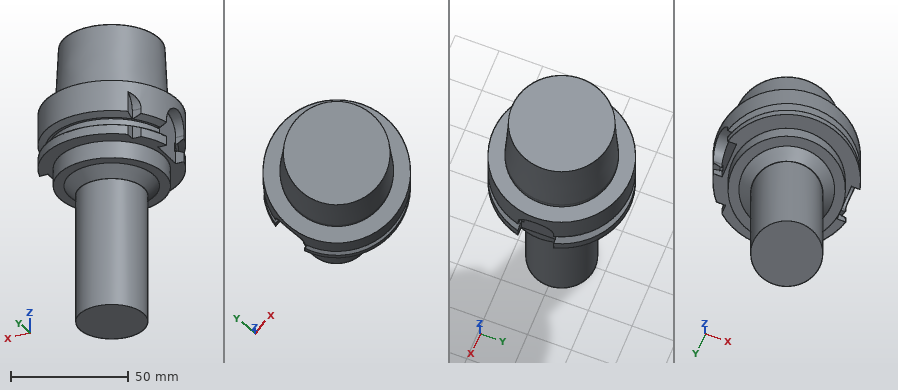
import cadquery as cq
import math

total_height = 132.0
cone_bottom_z = 61.1
collar_bottom_z = 66.0
flange_bottom_z = 74.2
lower_bevel_z = 78.5
groove_bottom_z = 80.1
groove_top_z = 83.7
upper_bevel_z = 85.4
flange_top_z = 100.0
taper_start_z = 102.0

shank_radius = 30.8 / 2
cone_bottom_radius = 31.0 / 2
collar_radius = 50.0 / 2
flange_radius = 63.0 / 2
groove_radius = 27.3
taper_base_radius = 48.5 / 2
taper_ratio = 0.1
taper_top_radius = taper_base_radius - taper_ratio / 2 * (total_height - taper_start_z)
cone_top_radius = cone_bottom_radius + collar_bottom_z - cone_bottom_z

bevel_angle = math.radians(30)
lower_lip_radius = flange_radius - (groove_bottom_z - lower_bevel_z) / math.tan(bevel_angle)
upper_lip_radius = flange_radius - (upper_bevel_z - groove_top_z) / math.tan(bevel_angle)

slot_radius = 8.2
slot_floor_x = 26.4
slot_top_z = 95.0

notch_depth_position = 20.0
notch_radius = slot_radius
notch_top_z = 96.0


def turned_body():
    profile = [
        (0, 0),
        (shank_radius, 0),
        (shank_radius, cone_bottom_z),
        (cone_bottom_radius, cone_bottom_z),
        (cone_top_radius, collar_bottom_z),
        (collar_radius, collar_bottom_z),
        (collar_radius, flange_bottom_z),
        (flange_radius, flange_bottom_z),
        (flange_radius, lower_bevel_z),
        (lower_lip_radius, groove_bottom_z),
        (groove_radius, groove_bottom_z),
        (groove_radius, groove_top_z),
        (upper_lip_radius, groove_top_z),
        (flange_radius, upper_bevel_z),
        (flange_radius, flange_top_z),
        (taper_base_radius, flange_top_z),
        (taper_base_radius, taper_start_z),
        (taper_top_radius, total_height),
        (0, total_height),
    ]
    return cq.Workplane("XZ").polyline(profile).close().revolve(360, (0, 0), (0, 1))


def arched_cutter(center_y, radius, top_z, floor_x):
    """Round-topped cutter from floor_x out past the flange, open at the flange bottom."""
    spring_z = top_z - radius
    return (
        cq.Workplane("YZ", origin=(floor_x, 0, 0))
        .moveTo(center_y - radius, flange_bottom_z)
        .lineTo(center_y - radius, spring_z)
        .threePointArc((center_y, top_z), (center_y + radius, spring_z))
        .lineTo(center_y + radius, flange_bottom_z)
        .close()
        .extrude(math.copysign(flange_radius, floor_x))
    )


result = turned_body()
for side in (-1, 1):
    result = result.cut(arched_cutter(0, slot_radius, slot_top_z, side * slot_floor_x))

notch_center_y = notch_depth_position + notch_radius
result = result.cut(
    arched_cutter(notch_center_y, notch_radius, notch_top_z, -notch_depth_position)
)